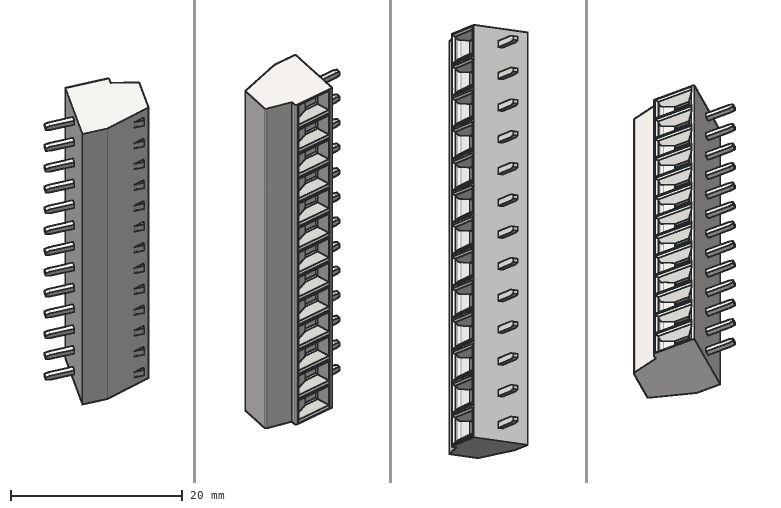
import cadquery as cq

pole_count = 13
length = 49.55
pitch = length / pole_count
width = 7.3
depth = 8.5
shoulder_y = 5.3
shoulder_width = 0.75
crown_left = 1.6
crown_right = 5.55
slope_start_y = 3.0
edge_radius = 0.25

rim_front = 0.35
rim_back = 5.0
rim_half_height = 1.8
rim_bevel = 0.3
rim_bevel_depth = 0.2
pocket_depth = 1.2
shelf_depth = 0.8
back_corner_radius = 0.35
mouth_front = 1.25
mouth_back = 3.0
mouth_half_height = 0.8
recess_depth = 0.35

pin_length = 3.45
pin_thickness = 0.6
pin_x = 3.55
pin_height = 0.75
pin_tip_length = 0.5
pin_tip_inset = 0.15

tab_outer_x = 6.15
tab_top_y = 7.85
tab_height = 1.0


def slope_x(y):
    """X of the sloped +X side at a given Y."""
    fraction = (y - slope_start_y) / (depth - slope_start_y)
    return width + fraction * (crown_right - width)


def slope_y(x):
    """Y of the sloped +X side at a given X."""
    fraction = (width - x) / (width - crown_right)
    return slope_start_y + fraction * (depth - slope_start_y)


def make_housing():
    outline = [
        (0, 0),
        (width, 0),
        (width, slope_start_y),
        (crown_right, depth),
        (crown_left, depth),
        (shoulder_width, shoulder_y),
        (0, shoulder_y),
    ]
    housing = cq.Workplane("XY").polyline(outline).close().extrude(length)
    rounded_corners = [(crown_left, depth), (0, shoulder_y)]
    for x, y in rounded_corners:
        edge = cq.selectors.NearestToPointSelector((x, y, length / 2))
        housing = housing.edges("|Z").edges(edge).fillet(edge_radius)
    return housing


def make_pocket():
    """Funnel-shaped wire pocket centred on Z = 0."""
    inner_back = rim_back - rim_bevel
    inner_half_height = rim_half_height - rim_bevel

    plan = (
        cq.Workplane("XY")
        .moveTo(0, rim_front)
        .lineTo(rim_bevel_depth, rim_front)
        .lineTo(pocket_depth, mouth_front)
        .lineTo(pocket_depth, mouth_back)
        .lineTo(shelf_depth, inner_back - back_corner_radius)
        .radiusArc((shelf_depth - back_corner_radius, inner_back), -back_corner_radius)
        .lineTo(rim_bevel_depth, inner_back)
        .lineTo(0, rim_back)
        .close()
        .extrude(rim_half_height, both=True)
    )

    upper_wall = [
        (0, rim_half_height),
        (rim_bevel_depth, inner_half_height),
        (pocket_depth, mouth_half_height),
    ]
    lower_wall = [(x, -z) for x, z in reversed(upper_wall)]
    side = cq.Workplane("XZ").polyline(upper_wall + lower_wall).close().extrude(-rim_back)

    recess = cq.Workplane("XY").box(
        pocket_depth + recess_depth,
        mouth_back - mouth_front,
        2 * mouth_half_height,
        centered=(False, False, True),
    )
    return plan.intersect(side).union(recess.translate((0, mouth_front, 0)))


def make_pin():
    """Solder pin centred on Z = 0, tapered above and below at its tip."""
    half_height = pin_height / 2
    tip_half_height = half_height - pin_tip_inset
    taper_y = pin_tip_length - pin_length
    outline = [
        (0, half_height),
        (taper_y, half_height),
        (-pin_length, tip_half_height),
        (-pin_length, -tip_half_height),
        (taper_y, -half_height),
        (0, -half_height),
    ]
    pin = cq.Workplane("YZ").polyline(outline).close().extrude(pin_thickness / 2, both=True)
    return pin.translate((pin_x, 0, 0))


def make_tab():
    """Wedge centred on Z = 0 that fills out the sloped side to a flat face."""
    outline = [
        (slope_x(tab_top_y), tab_top_y),
        (tab_outer_x, tab_top_y),
        (tab_outer_x, slope_y(tab_outer_x)),
    ]
    return cq.Workplane("XY").polyline(outline).close().extrude(tab_height / 2, both=True)


pocket = make_pocket()
pin = make_pin()
tab = make_tab()

result = make_housing()
for pole in range(pole_count):
    pole_centre = (0, 0, (pole + 0.5) * pitch)
    result = result.cut(pocket.translate(pole_centre))
    result = result.union(pin.translate(pole_centre))
    result = result.union(tab.translate(pole_centre))